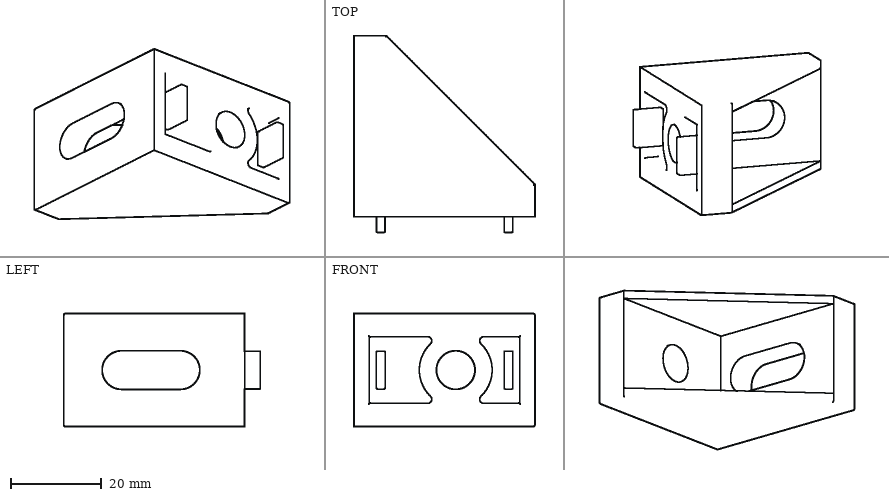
import cadquery as cq
import math

LEG = 40.0
HEIGHT = 25.0
END_FLAT = 7.15
WALL = END_FLAT
WEB = 2.0
EDGE_FILLET = 0.5

BOLT_DIAMETER = 8.5
BOLT_X = 22.5
SLOT_LENGTH = 21.55
SLOT_Y = 20.7

RECESS_MARGIN = 3.45
RECESS_HEIGHT = 14.75
RECESS_DEPTH = 3.0
RECESS_FILLET = 0.2
BOSS_RADIUS = 8.05
HORN_RADIUS = 0.9

TAB_WIDTH = 1.9
TAB_HEIGHT = 8.4
TAB_PROJECTION = 3.5
TAB_FILLET = 0.25
TAB_CENTERS = (5.9, 34.15)


def wedge(height):
    """Right-angled triangular prism with its two sharp tips cut off, centred on Z = 0."""
    return (
        cq.Workplane("XY")
        .workplane(offset=-height / 2)
        .polyline([(0, 0), (LEG, 0), (LEG, END_FLAT), (END_FLAT, LEG), (0, LEG)])
        .close()
        .extrude(height)
    )


def make_body():
    """Solid wedge, rounded along its free edges and hollowed from the sloping side."""
    body = wedge(HEIGHT)
    for face in (">Z", "<Z"):
        free_edges = body.faces(face).edges(">X or >Y or >(1, 1, 0)")
        body = free_edges.fillet(EDGE_FILLET)
    cavity = cq.Workplane("XY").box(LEG, LEG, HEIGHT - 2 * WEB, centered=(False, False, True))
    return body.cut(cavity.translate((WALL, WALL, 0)))


def bolt_hole():
    """Round hole through the locating wall."""
    return cq.Workplane("XZ").center(BOLT_X, 0).circle(BOLT_DIAMETER / 2).extrude(-LEG)


def bolt_slot():
    """Slot through the other wall, lengthwise along Y."""
    return cq.Workplane("YZ").center(SLOT_Y, 0).slot2D(SLOT_LENGTH, BOLT_DIAMETER).extrude(LEG)


def recess(outer_x):
    """Recess from outer_x to the round boss about the bolt hole, with rounded horns."""
    side = math.copysign(1, outer_x - BOLT_X)
    top = RECESS_HEIGHT / 2
    horn_z = top - HORN_RADIUS
    reach = BOSS_RADIUS + HORN_RADIUS
    horn_x = BOLT_X + side * math.sqrt(reach**2 - horn_z**2)
    meet_x = BOLT_X + (horn_x - BOLT_X) * BOSS_RADIUS / reach
    meet_z = horn_z * BOSS_RADIUS / reach
    tip_x = horn_x - side * HORN_RADIUS
    return (
        cq.Workplane("XZ")
        .moveTo(outer_x, -top)
        .lineTo(outer_x, top)
        .lineTo(horn_x, top)
        .threePointArc((tip_x, horn_z), (meet_x, meet_z))
        .threePointArc((BOLT_X + side * BOSS_RADIUS, 0), (meet_x, -meet_z))
        .threePointArc((tip_x, -horn_z), (horn_x, -top))
        .close()
        .extrude(-RECESS_DEPTH)
        .faces(">Y")
        .edges()
        .fillet(RECESS_FILLET)
    )


def tab(center_x):
    """Rounded bar from the recess floor out past the locating face."""
    length = RECESS_DEPTH + TAB_PROJECTION
    return (
        cq.Workplane("XZ", origin=(0, RECESS_DEPTH, 0))
        .center(center_x, 0)
        .rect(TAB_WIDTH, TAB_HEIGHT)
        .extrude(length)
        .edges("|Y or <Y")
        .fillet(TAB_FILLET)
    )


def round_recess_mouths(body):
    """Round the recess rims where they open on the locating face."""
    thin = RECESS_FILLET / 2
    clear = RECESS_MARGIN / 2
    low_corner = (clear, -thin, clear - HEIGHT / 2)
    high_corner = (LEG - clear, thin, HEIGHT / 2 - clear)
    rims = body.edges(cq.selectors.BoxSelector(low_corner, high_corner))
    return rims.fillet(RECESS_FILLET)


result = make_body().cut(bolt_slot())
for outer_x in (RECESS_MARGIN, LEG - RECESS_MARGIN):
    result = result.cut(recess(outer_x))
result = round_recess_mouths(result).cut(bolt_hole())
for center_x in TAB_CENTERS:
    result = result.union(tab(center_x))